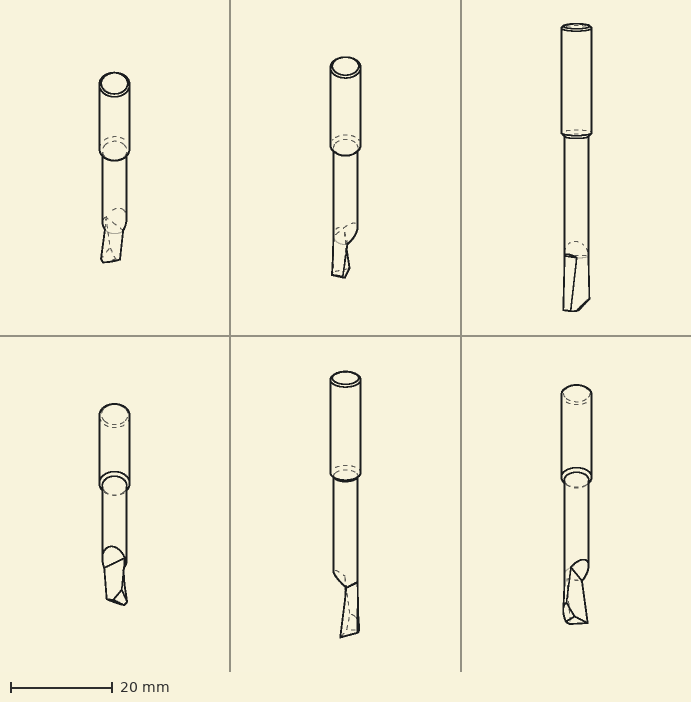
import cadquery as cq
import math

total_length = 57.0
shank_diameter = 6.0
shank_end_chamfer = 0.4
shoulder_bottom = 35.0
shoulder_height = 0.7
neck_diameter = 4.8

blade_top = 11.1
blade_top_radius = neck_diameter / 2
blade_tip_radius = 2.75
blade_twist = 27.0
flank_angle = -99.0
runout_angle = 45.0

corner_height = 2.7
corner_inner_x = 0.45
end_rise_x = 0.06
end_rise_y = 0.1


def polar(radius, angle):
    """Point at the given radius and angle in degrees."""
    turn = math.radians(angle)
    return (radius * math.cos(turn), radius * math.sin(turn))


def make_shank():
    shank_radius = shank_diameter / 2
    neck_radius = neck_diameter / 2
    cone_top = shoulder_bottom + shoulder_height
    return (
        cq.Workplane("XZ")
        .moveTo(0, blade_top)
        .lineTo(neck_radius, blade_top)
        .lineTo(neck_radius, shoulder_bottom)
        .lineTo(shank_radius, cone_top)
        .lineTo(shank_radius, total_length - shank_end_chamfer)
        .lineTo(shank_radius - shank_end_chamfer, total_length)
        .lineTo(0, total_length)
        .close()
        .revolve(360, (0, 0, 0), (0, 1, 0))
    )


def blade_section(work, radius, turn):
    """Half disc with a flat from the cutting edge to the heel."""
    return (
        work.moveTo(*polar(radius, 180 + turn))
        .lineTo(*polar(radius, flank_angle + turn))
        .threePointArc(polar(radius, flank_angle / 2 + turn), polar(radius, turn))
        .close()
    )


def make_blade():
    tip = blade_section(cq.Workplane("XY"), blade_tip_radius, 0)
    both = blade_section(tip.workplane(offset=blade_top), blade_top_radius, blade_twist)
    return both.loft(ruled=True)


def runout(direction, distance):
    """Wedge outside a vertical flat, its roof rising outwards along direction."""
    reach = shank_diameter
    rise = reach * math.tan(math.radians(runout_angle))
    inner = distance
    outer = distance + reach
    wedge = (
        cq.Workplane("XZ")
        .polyline([(inner, blade_top), (outer, blade_top), (outer, blade_top + rise)])
        .close()
        .extrude(shank_diameter, both=True)
    )
    return wedge.rotate((0, 0, 0), (0, 0, 1), direction)


def corner_cutter():
    """Prism below the sloping corner opposite the cutting edge."""
    inner_z = end_rise_x * (corner_inner_x + blade_tip_radius)
    slope = (corner_height - inner_z) / (blade_tip_radius - corner_inner_x)
    start_x = corner_inner_x - blade_tip_radius
    end_x = 2 * blade_tip_radius
    start_z = inner_z + slope * (start_x - corner_inner_x)
    end_z = inner_z + slope * (end_x - corner_inner_x)
    return (
        cq.Workplane("XZ")
        .polyline([(start_x, start_z), (end_x, start_z), (end_x, end_z)])
        .close()
        .extrude(shank_diameter, both=True)
    )


def end_cutter():
    """Block whose top is the inclined end face through the cutting point."""
    plane = cq.Plane(
        origin=(-blade_tip_radius, 0, 0),
        xDir=(1, 0, end_rise_x),
        normal=(-end_rise_x, end_rise_y, 1),
    )
    size = 4 * shank_diameter
    return cq.Workplane(plane).rect(size, size).extrude(-shank_diameter)


rake_direction = 90 + blade_twist
flank_direction = (flank_angle - 180) / 2 + blade_twist
flank_half_angle = (180 + flank_angle) / 2
flank_distance = blade_top_radius * math.cos(math.radians(flank_half_angle))

shank = make_shank().cut(runout(rake_direction, 0))
shank = shank.cut(runout(flank_direction, flank_distance))
blade = make_blade().cut(corner_cutter()).cut(end_cutter())
result = shank.union(blade)